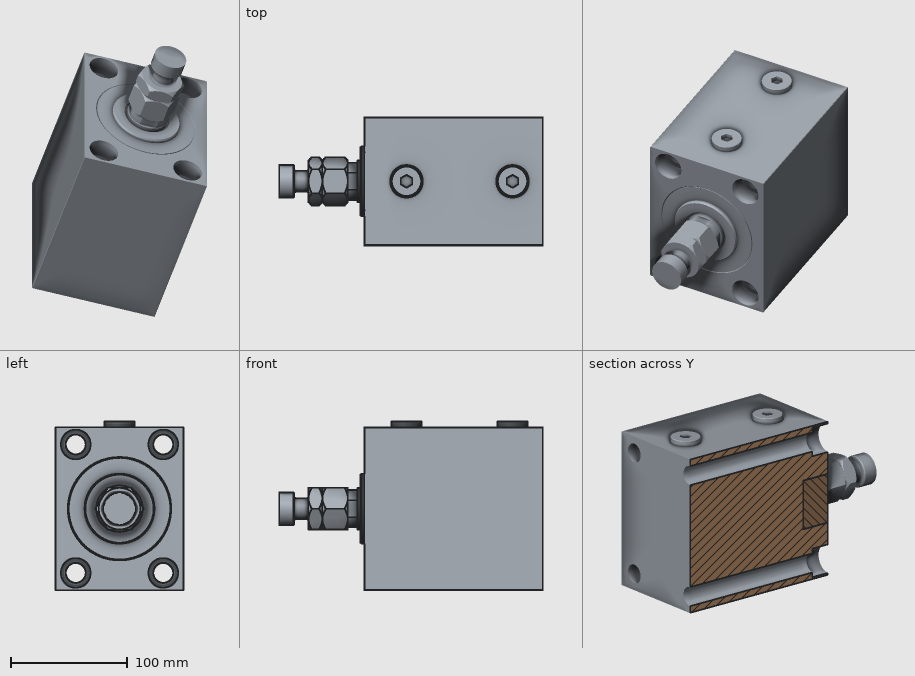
import cadquery as cq
import math


OVERALL_LENGTH = 226
BLOCK_LENGTH = 153.0
BLOCK_WIDTH = 110.0
BLOCK_HEIGHT = 140.0
BLOCK_EDGE_CHAMFER = 0.5

BOLT_SPACING_Y = 75.0
BOLT_SPACING_Z = 110.0
BOLT_HOLE_DIAMETER = 17.0
COUNTERBORE_DIAMETER = 25.5
COUNTERBORE_DEPTH = 17.0

GLAND_DIAMETER = 87.0
GLAND_DEPTH = 27.1
GLAND_BORE_CHAMFER = 1.0
COLLAR_DIAMETER = 60.1
COLLAR_HEIGHT = 3.5
COLLAR_CHAMFER_LENGTH = 1.4
COLLAR_CHAMFER_DEPTH = 1.0
ROD_RECESS_DIAMETER = 40.0
ROD_RECESS_DEPTH = 1.8

ROD_DIAMETER = 36.0
SHOULDER_END = 6.0
SHOULDER_CHAMFER = 0.5
ROD_TIP_DIAMETER = 35.3
ROD_TIP_END = 14.0
ROD_TIP_FLATS = 32.0

HEX_FLATS = 36.0
LONG_HEX_LENGTH = 22.0
SHORT_HEX_LENGTH = 12.0
HEX_CHAMFER = 3.0
NECK_DIAMETER = 18
NECK_LENGTH = 12.2
NECK_FILLET = 1.4
HEAD_DIAMETER = 28.0
HEAD_CHAMFER = 0.7
COUPLING_LENGTH = OVERALL_LENGTH - BLOCK_LENGTH - ROD_TIP_END
HEAD_LENGTH = COUPLING_LENGTH - LONG_HEX_LENGTH - SHORT_HEX_LENGTH - NECK_LENGTH

PLUG_POSITIONS_X = (36.2, 127.0)
PLUG_DIAMETER = 26.0
PLUG_HEIGHT = 5.0
PLUG_CHAMFER = 0.5
PLUG_SEAT_DIAMETER = 28.0
PLUG_SEAT_DEPTH = 0.5
SOCKET_FLATS = 9.5
SOCKET_DEPTH = 4.0
SOCKET_TURN = 30

HEX_SIDES = 6
CORNERS_PER_FLATS = 1 / math.cos(math.pi / HEX_SIDES)
HEX_CORNERS = HEX_FLATS * CORNERS_PER_FLATS
SOCKET_CORNERS = SOCKET_FLATS * CORNERS_PER_FLATS


def cylinder_x(x_start, length, diameter):
    """Cylinder on the centreline, from x_start towards +X."""
    return cq.Workplane("YZ", origin=(x_start, 0, 0)).circle(diameter / 2).extrude(length)


def make_block():
    """Block with four counterbored bolt holes, a blind gland bore and two plug seats."""
    block = cq.Workplane("YZ").rect(BLOCK_WIDTH, BLOCK_HEIGHT).extrude(BLOCK_LENGTH)
    block = block.edges("|X").chamfer(BLOCK_EDGE_CHAMFER)
    bolt_places = (
        cq.Workplane("YZ")
        .rect(BOLT_SPACING_Y, BOLT_SPACING_Z, forConstruction=True)
        .vertices()
    )
    block = block.cut(bolt_places.circle(BOLT_HOLE_DIAMETER / 2).extrude(BLOCK_LENGTH))
    block = block.cut(bolt_places.circle(COUNTERBORE_DIAMETER / 2).extrude(COUNTERBORE_DEPTH))

    gland_bore = cylinder_x(0, GLAND_DEPTH, GLAND_DIAMETER)
    block = block.cut(gland_bore)
    bore_rim = cq.selectors.RadiusNthSelector(-1)
    block = block.faces("<X").edges("%CIRCLE").edges(bore_rim).chamfer(GLAND_BORE_CHAMFER)

    plug_seats = (
        cq.Workplane("XY", origin=(0, 0, BLOCK_HEIGHT / 2 - PLUG_SEAT_DEPTH))
        .pushPoints([(x, 0) for x in PLUG_POSITIONS_X])
        .circle(PLUG_SEAT_DIAMETER / 2)
        .extrude(PLUG_SEAT_DEPTH)
    )
    return block.cut(plug_seats)


def make_gland():
    """Disc set flush in the block, with a raised collar and a stepped bore for the rod."""
    collar = cylinder_x(-COLLAR_HEIGHT, COLLAR_HEIGHT, COLLAR_DIAMETER)
    collar = collar.faces("<X").chamfer(COLLAR_CHAMFER_LENGTH, COLLAR_CHAMFER_DEPTH)
    gland = cylinder_x(0, GLAND_DEPTH, GLAND_DIAMETER).union(collar)
    rod_bore = cylinder_x(-COLLAR_HEIGHT, GLAND_DEPTH + COLLAR_HEIGHT, ROD_DIAMETER)
    rod_recess = cylinder_x(-COLLAR_HEIGHT, ROD_RECESS_DEPTH, ROD_RECESS_DIAMETER)
    return gland.cut(rod_bore).cut(rod_recess)


def make_rod():
    """Round rod with a slimmer tip that carries four wrench flats."""
    main = cylinder_x(-SHOULDER_END, SHOULDER_END + GLAND_DEPTH, ROD_DIAMETER)
    main = main.faces("<X").chamfer(SHOULDER_CHAMFER)
    tip_length = ROD_TIP_END - SHOULDER_END
    tip = cylinder_x(-ROD_TIP_END, tip_length, ROD_TIP_DIAMETER)
    flats = cq.Workplane("YZ", origin=(-ROD_TIP_END, 0, 0)).rect(ROD_TIP_FLATS, ROD_TIP_FLATS)
    tip = tip.intersect(flats.extrude(tip_length))
    return main.union(tip)


def make_hexagon(x_start, length):
    """Hexagon with flats facing +Z and -Z, its corners turned down at both ends."""
    hexagon = cq.Workplane("YZ", origin=(x_start, 0, 0)).polygon(HEX_SIDES, HEX_CORNERS).extrude(length)
    turned_outline = cylinder_x(x_start, length, HEX_CORNERS).faces("<X or >X").chamfer(HEX_CHAMFER)
    return hexagon.intersect(turned_outline)


def make_coupling():
    """Coupling seated against the rod tip, built from the rod tip outwards."""
    long_hex_start = -ROD_TIP_END - LONG_HEX_LENGTH
    short_hex_start = long_hex_start - SHORT_HEX_LENGTH
    neck_start = short_hex_start - NECK_LENGTH

    long_hex = make_hexagon(long_hex_start, LONG_HEX_LENGTH)
    short_hex = make_hexagon(short_hex_start, SHORT_HEX_LENGTH)

    head = cylinder_x(neck_start - HEAD_LENGTH, HEAD_LENGTH, HEAD_DIAMETER)
    head = head.faces(">X").chamfer(HEAD_CHAMFER)
    neck = cylinder_x(neck_start, NECK_LENGTH, NECK_DIAMETER)
    coupling = long_hex.union(short_hex).union(head).union(neck)
    neck_ends = cq.selectors.RadiusNthSelector(0)
    return coupling.edges("%CIRCLE").edges(neck_ends).fillet(NECK_FILLET)


def make_plug(x):
    """Round port plug with a hexagon socket, standing in its seat at x."""
    seat = BLOCK_HEIGHT / 2 - PLUG_SEAT_DEPTH
    plug = (
        cq.Workplane("XY", origin=(x, 0, seat))
        .circle(PLUG_DIAMETER / 2)
        .extrude(PLUG_SEAT_DEPTH + PLUG_HEIGHT)
        .faces(">Z")
        .chamfer(PLUG_CHAMFER)
    )
    socket = (
        cq.Workplane("XY", origin=(x, 0, BLOCK_HEIGHT / 2 + PLUG_HEIGHT))
        .transformed(rotate=(0, 0, SOCKET_TURN))
        .polygon(HEX_SIDES, SOCKET_CORNERS)
        .extrude(-SOCKET_DEPTH)
    )
    return plug.cut(socket)


block = make_block()
gland = make_gland()
rod = make_rod()
coupling = make_coupling()
plugs = [make_plug(x) for x in PLUG_POSITIONS_X]

result = cq.Compound.makeCompound(
    [block.val(), gland.val(), rod.val(), coupling.val(), *(plug.val() for plug in plugs)]
)